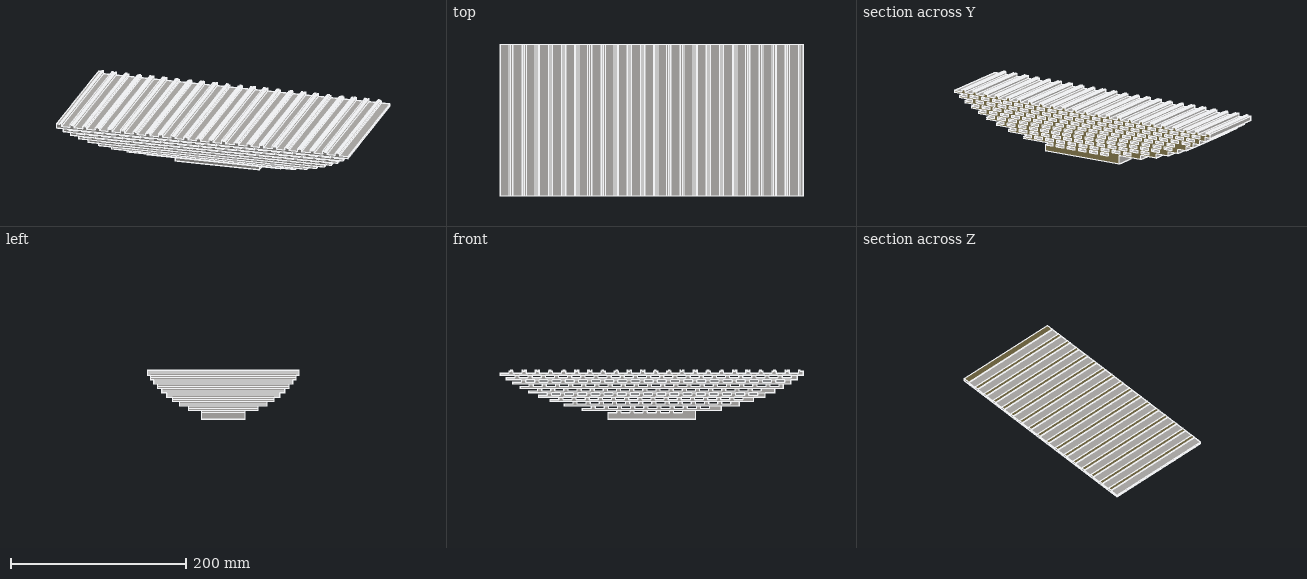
import cadquery as cq
import math

tier_count = 10
length_per_doubling = 100.0
length_to_depth = 2.0

tier_pitch = 5.0
rib_height = 2.5
plate_thickness = tier_pitch - rib_height
base_thickness = 7.5

rib_pitch = 15.0
channel_width = 10.0

tooth_pitch = 4.0
tooth_width = 2.0
tooth_height = 1.0


def tier_length(tier):
    return length_per_doubling * math.log2(tier + 1)


def rib_spans(length):
    """Start and end of each rib, measured from the -X edge; the last rib widens to the +X edge."""
    rib_count = math.floor(length / rib_pitch)
    starts = [channel_width + index * rib_pitch for index in range(rib_count)]
    ends = [(index + 1) * rib_pitch for index in range(rib_count - 1)] + [length]
    return list(zip(starts, ends))


def tooth_spans(length):
    """Start and end of each piece of a tooth that lies on a rib; only whole teeth fit the length."""
    tooth_count = math.floor((length - tooth_width) / tooth_pitch) + 1
    spans = []
    for rib_start, rib_end in rib_spans(length):
        for index in range(tooth_count):
            start = max(index * tooth_pitch, rib_start)
            end = min(index * tooth_pitch + tooth_width, rib_end)
            if start < end:
                spans.append((start, end))
    return spans


def extrude_along_y(outline, tier):
    """Solid from an XZ outline that starts at the tier's -X edge, centred on X and Y."""
    length = tier_length(tier)
    half_depth = length / length_to_depth / 2
    profile = cq.Workplane("XZ", origin=(-length / 2, 0, 0)).polyline(outline).close()
    return profile.extrude(half_depth, both=True)


def make_tier(tier, z_bottom, thickness):
    """Plate with ribs on top, as one comb-shaped outline."""
    length = tier_length(tier)
    z_floor = z_bottom + thickness
    z_rib = z_floor + rib_height
    outline = [(length, z_bottom), (0, z_bottom), (0, z_floor)]
    for start, end in rib_spans(length):
        outline += [(start, z_floor), (start, z_rib), (end, z_rib)]
        if end < length:
            outline.append((end, z_floor))
    return extrude_along_y(outline, tier)


def make_teeth(tier, z_bottom):
    z_tip = z_bottom + tooth_height
    teeth = []
    for start, end in tooth_spans(tier_length(tier)):
        outline = [(start, z_bottom), (end, z_bottom), (end, z_tip), (start, z_tip)]
        teeth.append(extrude_along_y(outline, tier).val())
    return teeth


def make_stack():
    stack = make_tier(1, 0.0, base_thickness)
    z_top = base_thickness + rib_height
    for tier in range(2, tier_count + 1):
        stack = stack.union(make_tier(tier, z_top, plate_thickness))
        z_top += tier_pitch
    teeth = make_teeth(tier_count, z_top)
    return cq.Workplane(stack.val().fuse(*teeth))


result = make_stack()